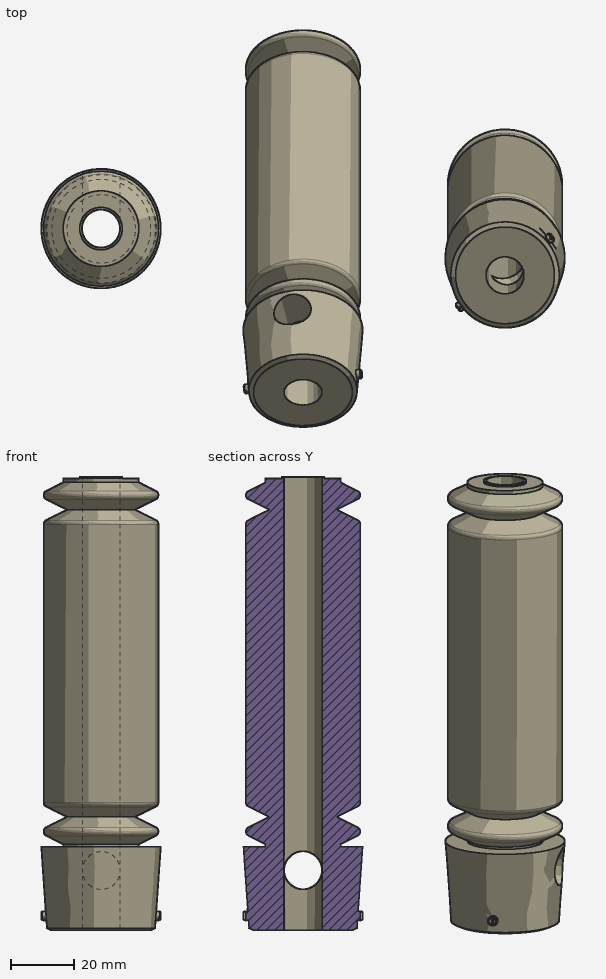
import cadquery as cq
import math

total_height = 143.94
bore_diameter = 12.0

grip_diameter = 36.5
grip_mid_z = 84.75
barrel_half_length = 45.05
ring_offset = 53.35
neck_offset = 57.45
cone_angle = 26.5
edge_radius = 1.5
neck_diameter = 24.0
flange_top_z = 143.4

tube_rim_diameter = 13.5

ferrule_height = 26.6
ferrule_top_diameter = 38.0
ferrule_taper = 4.0
ferrule_edge_height = 0.7
ferrule_edge_width = 1.5

screw_diameter = 3.0
screw_span = 38.0
screw_z = 4.65
screw_chamfer = 0.4
slot_width = 0.4
slot_depth = 0.8

side_hole_diameter = 12.0
side_hole_z = 19.1

grip_radius = grip_diameter / 2
neck_radius = neck_diameter / 2
slope = math.tan(math.radians(cone_angle))


def rounding_point(angle):
    """Radius and axial offset on an edge rounding, at an angle from the radial direction."""
    turn = math.radians(angle)
    radius = grip_radius - edge_radius * (1 - math.cos(turn))
    return radius, edge_radius * math.sin(turn)


def make_grip():
    full_turn = 90 - cone_angle
    tangent_r, tangent_dz = rounding_point(full_turn)
    middle_r, middle_dz = rounding_point(full_turn / 2)

    round_start = barrel_half_length - edge_radius * math.tan(math.radians(full_turn / 2))
    barrel_cone_start = round_start + tangent_dz
    ring_cone_start = ring_offset - tangent_dz

    groove_offset = (barrel_cone_start + ring_cone_start) / 2
    groove_radius = tangent_r - (groove_offset - barrel_cone_start) / slope

    flange_offset = flange_top_z - grip_mid_z
    profile = (
        cq.Workplane("XZ")
        .moveTo(0, round_start)
        .lineTo(grip_radius, round_start)
        .threePointArc((middle_r, round_start + middle_dz), (tangent_r, barrel_cone_start))
        .lineTo(groove_radius, groove_offset)
        .lineTo(tangent_r, ring_cone_start)
        .threePointArc((grip_radius, ring_offset), (tangent_r, ring_offset + tangent_dz))
        .lineTo(neck_radius, neck_offset)
        .lineTo(neck_radius, flange_offset)
        .lineTo(0, flange_offset)
        .close()
    )
    upper_end = profile.revolve(360, (0, 0, 0), (0, 1, 0))
    lower_end = upper_end.mirror("XY")
    barrel = cq.Workplane("XY").workplane(offset=-round_start).circle(grip_radius).extrude(2 * round_start)
    return barrel.union(upper_end).union(lower_end).translate((0, 0, grip_mid_z))


def make_tube_rim():
    rim_height = total_height - grip_mid_z
    return cq.Workplane("XY", origin=(0, 0, grip_mid_z)).circle(tube_rim_diameter / 2).extrude(rim_height)


def make_ferrule():
    top_radius = ferrule_top_diameter / 2
    edge_drop = ferrule_height - ferrule_edge_height
    side_end_radius = top_radius - edge_drop * math.tan(math.radians(ferrule_taper))
    profile = (
        cq.Workplane("XZ")
        .moveTo(0, 0)
        .lineTo(side_end_radius - ferrule_edge_width, 0)
        .lineTo(side_end_radius, ferrule_edge_height)
        .lineTo(top_radius, ferrule_height)
        .lineTo(0, ferrule_height)
        .close()
    )
    return profile.revolve(360, (0, 0, 0), (0, 1, 0))


def make_screws():
    screws = (
        cq.Workplane("YZ", origin=(0, 0, screw_z))
        .circle(screw_diameter / 2)
        .extrude(screw_span / 2, both=True)
        .faces("<X or >X")
        .chamfer(screw_chamfer)
    )
    for side in (-1, 1):
        slot_x = side * (screw_span - slot_depth) / 2
        slot = cq.Workplane("XY").box(slot_depth, slot_width, screw_diameter)
        screws = screws.cut(slot.translate((slot_x, 0, screw_z)))
    return screws


def make_bore():
    return cq.Workplane("XY").circle(bore_diameter / 2).extrude(total_height)


def make_side_hole():
    return (
        cq.Workplane("XZ", origin=(0, 0, side_hole_z))
        .circle(side_hole_diameter / 2)
        .extrude(-ferrule_top_diameter)
    )


body = make_grip().union(make_tube_rim()).union(make_ferrule()).union(make_screws())
result = body.cut(make_bore()).cut(make_side_hole())